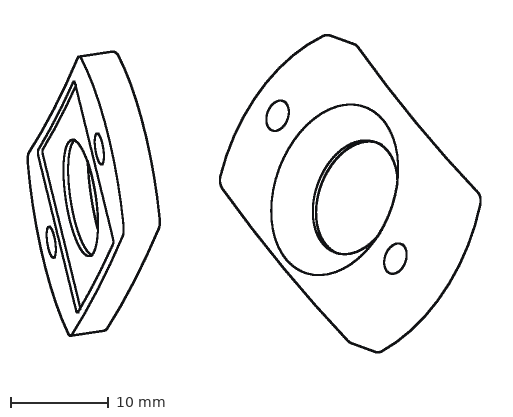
import cadquery as cq
import math

thickness = 4.0
tilt = 50.0
bend_radius = 250.0
plate_width = 20.0
end_radius = 17.5
corner_radius = 1.5
back_edge_radius = 0.5

recess_width = 18.0
recess_length = 20.0
recess_depth = 0.5
recess_corner_radius = 0.5

window_diameter = 12.0
window_lip = 0.5
flare_diameter = 18.0
screw_hole_diameter = 3.2
screw_hole_spacing = 26.0

front_y = -thickness / 2
back_y = thickness / 2
blank_length = 3 * end_radius
flare_depth = thickness - recess_depth - window_lip


def front_plane(y):
    """Sketch plane at the given y: its x runs along the plate, its normal points toward -Y."""
    angle = math.radians(tilt)
    along_plate = (math.cos(angle), 0, math.sin(angle))
    return cq.Plane(origin=(0, y, 0), xDir=along_plate, normal=(0, -1, 0))


def bent_strip(y, width, length, depth):
    """Strip of the given width following the bend, with straight ends, grown toward -Y from y."""
    half_length = length / 2
    inner_radius = bend_radius - width / 2
    outer_radius = bend_radius + width / 2
    inner_end = bend_radius - math.sqrt(inner_radius**2 - half_length**2)
    outer_end = bend_radius - math.sqrt(outer_radius**2 - half_length**2)
    return (
        cq.Workplane(front_plane(y))
        .moveTo(-half_length, outer_end)
        .threePointArc((0, -width / 2), (half_length, outer_end))
        .lineTo(half_length, inner_end)
        .threePointArc((0, width / 2), (-half_length, inner_end))
        .close()
        .extrude(depth)
    )


def cylinder(y, diameter, depth, along=0.0):
    """Round bar grown toward -Y from y, centred on the bent centre line at distance along."""
    across = bend_radius - math.sqrt(bend_radius**2 - along**2)
    return cq.Workplane(front_plane(y)).center(along, across).circle(diameter / 2).extrude(depth)


def make_plate():
    """Bent strip with round ends, rounded corners and a rounded back edge."""
    end_disc = cylinder(back_y, 2 * end_radius, thickness)
    strip = bent_strip(back_y, plate_width, blank_length, thickness)
    plate = strip.intersect(end_disc)
    plate = plate.edges("|Y").fillet(corner_radius)
    return plate.faces(">Y").edges().fillet(back_edge_radius)


def make_recess():
    """Shallow pocket whose long sides follow the bend of the plate."""
    recess = bent_strip(front_y + recess_depth, recess_width, recess_length, recess_depth)
    return recess.edges("|Y").fillet(recess_corner_radius)


def make_flare():
    """Cone narrowing from the back face down to the window."""
    return (
        cq.Workplane(front_plane(back_y))
        .circle(flare_diameter / 2)
        .workplane(offset=flare_depth)
        .circle(window_diameter / 2)
        .loft(ruled=True)
    )


result = make_plate().cut(make_recess())
result = result.cut(cylinder(back_y, window_diameter, thickness))
result = result.cut(make_flare())
for along in (-screw_hole_spacing / 2, screw_hole_spacing / 2):
    result = result.cut(cylinder(back_y, screw_hole_diameter, thickness, along))